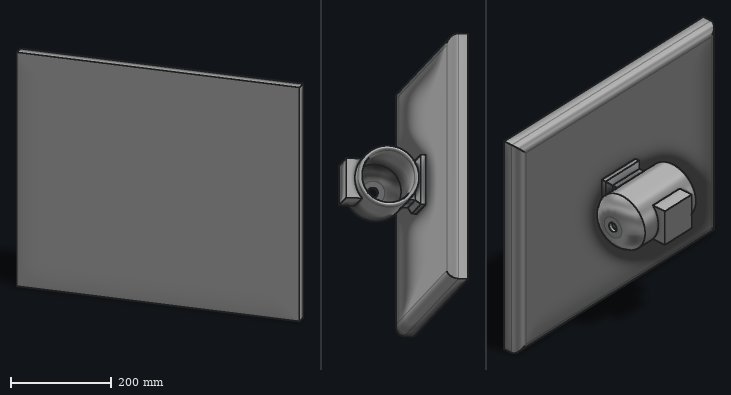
import cadquery as cq
import math

overall_depth = 200.0
panel_width = 600
panel_height = 500.0
panel_thickness = overall_depth / 5
panel_edge_radius = panel_thickness / 2

base_size = 101.0
base_thickness = panel_thickness / 2
base_bevel = base_thickness / 2
neck_size = base_size - 2 * base_bevel

block_size = neck_size

axis_y = 120
bell_radius = 62.5
wall = 9.0
inner_radius = bell_radius - wall
rim_radius = wall / 2
rim_x = -75.0
rim_tangent_x = rim_x + rim_radius

end_x = 107.5
dome_length = 27.0
dome_flat_radius = 23.5
hole_radius = 10.0
shoulder_x = end_x - dome_length
inner_end_x = end_x - wall
dome_rise = bell_radius - dome_flat_radius
dome_radius = (dome_length**2 + dome_rise**2) / (2 * dome_length)
dome_center_x = end_x - dome_radius
inner_dome_radius = dome_radius - wall


def square_bar(size, start_y, end_y):
    """Square bar along Y, centred on X and Z."""
    bar = cq.Workplane("XY").box(size, end_y - start_y, size, centered=(True, False, True))
    return bar.translate((0, start_y, 0))


def dome_point(radius, angle):
    """Point on a dome arc; the angle is measured from the +X direction."""
    x = dome_center_x + radius * math.cos(angle)
    r = dome_flat_radius + radius * math.sin(angle)
    return (x, r)


def make_panel():
    panel = cq.Workplane("XY").box(
        panel_width, panel_thickness, panel_height, centered=(True, False, True)
    )
    return panel.faces(">Y").edges().fillet(panel_edge_radius)


def make_foot():
    base = square_bar(base_size, panel_thickness, panel_thickness + base_thickness)
    base = base.faces(">Y").chamfer(base_bevel)
    neck = square_bar(neck_size, panel_thickness, axis_y)
    return base.union(neck)


def make_bell_cavity():
    """Cylindrical space inside the bell, kept free of the neck and the block."""
    section = cq.Workplane("YZ").workplane(offset=rim_x).center(axis_y, 0)
    return section.circle(inner_radius).extrude(shoulder_x - rim_x)


def make_bell():
    outer_angle = math.asin(dome_rise / dome_radius)
    inner_angle = math.asin((inner_radius - dome_flat_radius) / inner_dome_radius)
    profile = (
        cq.Workplane("XY")
        .moveTo(rim_tangent_x, bell_radius)
        .lineTo(shoulder_x, bell_radius)
        .threePointArc(dome_point(dome_radius, outer_angle / 2), (end_x, dome_flat_radius))
        .lineTo(end_x, hole_radius)
        .lineTo(inner_end_x, hole_radius)
        .lineTo(inner_end_x, dome_flat_radius)
        .threePointArc(
            dome_point(inner_dome_radius, inner_angle / 2),
            dome_point(inner_dome_radius, inner_angle),
        )
        .lineTo(rim_tangent_x, inner_radius)
        .threePointArc((rim_x, bell_radius - rim_radius), (rim_tangent_x, bell_radius))
        .close()
    )
    bell = profile.revolve(360, (0, 0, 0), (1, 0, 0))
    return bell.translate((0, axis_y, 0))


block = square_bar(block_size, axis_y, overall_depth)
supports = make_foot().union(block).cut(make_bell_cavity())
result = make_panel().union(supports).union(make_bell())